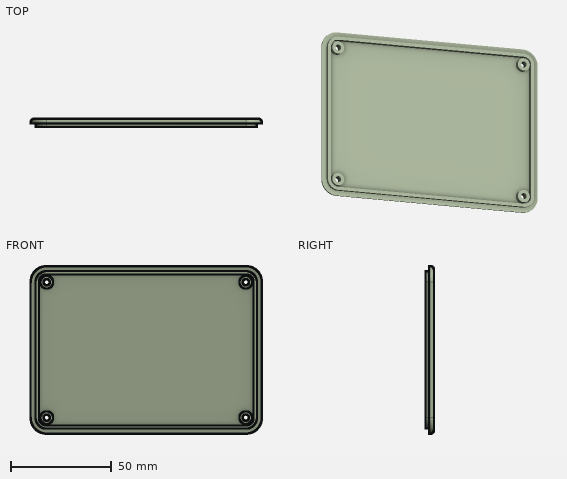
import cadquery as cq

LENGTH = 115.4
HEIGHT = 83.7
DEPTH = 4.3
CORNER_RADIUS = 8.1

FLANGE_THICKNESS = 2.5
EDGE_ROUND = 2.0

LIP_INSET = 2.5
LIP_WIDTH = 1.6
RECESS_DEPTH = 2.8

BOSS_DIAMETER = 6.3
HOLE_DIAMETER = 3.0

FRONT_Y = -DEPTH / 2
BACK_Y = DEPTH / 2
FLANGE_FRONT_Y = BACK_Y - FLANGE_THICKNESS
FLOOR_Y = FRONT_Y + RECESS_DEPTH


def rounded_plate(inset, front_y, back_y):
    """Plate whose outline is the cover outline moved inward by inset."""
    return (
        cq.Workplane("XZ", origin=(0, back_y, 0))
        .rect(LENGTH - 2 * inset, HEIGHT - 2 * inset)
        .extrude(back_y - front_y)
        .edges("|Y")
        .fillet(CORNER_RADIUS - inset)
    )


def corner_cylinders(diameter, front_y, back_y):
    """Cylinders along Y at the four corner centres."""
    return (
        cq.Workplane("XZ", origin=(0, back_y, 0))
        .rect(LENGTH - 2 * CORNER_RADIUS, HEIGHT - 2 * CORNER_RADIUS, forConstruction=True)
        .vertices()
        .circle(diameter / 2)
        .extrude(back_y - front_y)
    )


flange = rounded_plate(0, FLANGE_FRONT_Y, BACK_Y).faces(">Y").edges().fillet(EDGE_ROUND)
lip = rounded_plate(LIP_INSET, FRONT_Y, FLANGE_FRONT_Y)
recess = rounded_plate(LIP_INSET + LIP_WIDTH, FRONT_Y, FLOOR_Y)
bosses = corner_cylinders(BOSS_DIAMETER, FRONT_Y, FLOOR_Y)
screw_holes = corner_cylinders(HOLE_DIAMETER, FRONT_Y, BACK_Y)

result = flange.union(lip).cut(recess).union(bosses).cut(screw_holes)